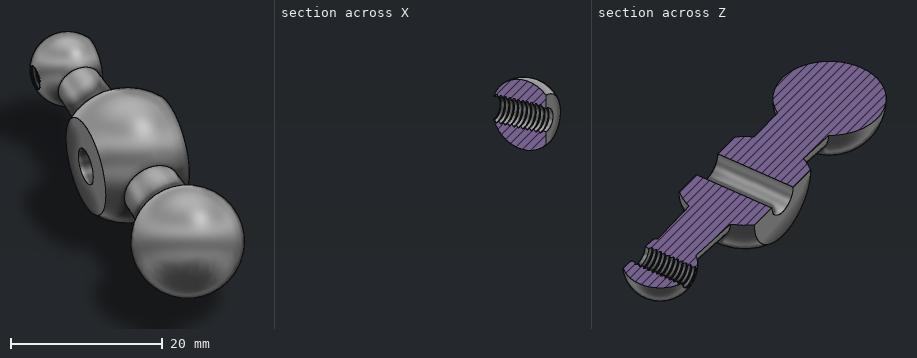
import cadquery as cq
import math

ball_spacing = 19.95
small_radius = 5.0
middle_radius = 8.95
large_radius = 7.5

middle_width = 12.0
small_flat_y = 3.5
middle_bore_diameter = 5.0
tapped_bore_diameter = 3.25

thread_major_diameter = 4.0
thread_pitch = 0.7
groove_mouth = 0.9 * thread_pitch
groove_root = thread_pitch / 8

small_neck_outer_radius = 3.05
small_neck_inner_radius = 3.3
large_neck_inner_radius = 3.95
large_neck_outer_radius = 4.1


def ball(x, radius):
    """Ball whose poles lie on Y, so that a bore along Y removes them."""
    return cq.Workplane("XZ").sphere(radius).translate((x, 0, 0))


def middle_bore():
    """Round cutter along Y, longer than the middle ball is wide."""
    return (
        cq.Workplane("XZ")
        .circle(middle_bore_diameter / 2)
        .extrude(middle_radius, both=True)
    )


def joint_distance(ball_radius, neck_radius):
    """Distance from a ball centre to the circle where a neck meets it."""
    return math.sqrt(ball_radius**2 - neck_radius**2)


def neck(direction, inner_radius, outer_radius, end_radius):
    """Cone between the middle ball and an end ball, closed inside both balls."""
    inner_x = direction * joint_distance(middle_radius, inner_radius)
    outer_x = direction * (ball_spacing - joint_distance(end_radius, outer_radius))
    profile = (
        cq.Workplane("XY")
        .moveTo(direction * middle_bore_diameter, 0)
        .lineTo(direction * middle_bore_diameter, inner_radius)
        .lineTo(inner_x, inner_radius)
        .lineTo(outer_x, outer_radius)
        .lineTo(direction * ball_spacing, 0)
        .close()
    )
    return profile.revolve(360, (0, 0, 0), (1, 0, 0))


def threaded_bore():
    """Bore with evenly pitched V-shaped ring grooves standing for its thread."""
    bore_radius = tapped_bore_diameter / 2
    major_radius = thread_major_diameter / 2
    rim_y = -joint_distance(small_radius, major_radius)
    groove_count = math.floor((small_flat_y - rim_y) / thread_pitch)

    profile = cq.Workplane("XY").moveTo(0, -middle_radius).lineTo(bore_radius, -middle_radius)
    for index in range(groove_count):
        groove_y = rim_y + (index + 0.5) * thread_pitch
        profile = (
            profile.lineTo(bore_radius, groove_y - groove_mouth / 2)
            .lineTo(major_radius, groove_y - groove_root / 2)
            .lineTo(major_radius, groove_y + groove_root / 2)
            .lineTo(bore_radius, groove_y + groove_mouth / 2)
        )
    profile = profile.lineTo(bore_radius, middle_radius).lineTo(0, middle_radius).close()
    return profile.revolve(360, (0, 0, 0), (0, 1, 0)).translate((-ball_spacing, 0, 0))


middle_slab = cq.Workplane("XY").box(2 * middle_radius, middle_width, 2 * middle_radius)
middle = ball(0, middle_radius).intersect(middle_slab)

flat_cutter = (
    cq.Workplane("XY")
    .box(2 * small_radius, small_radius, 2 * small_radius)
    .translate((-ball_spacing, small_flat_y + small_radius / 2, 0))
)
small = ball(-ball_spacing, small_radius).cut(flat_cutter)

small_neck = neck(-1, small_neck_inner_radius, small_neck_outer_radius, small_radius)
large_neck = neck(1, large_neck_inner_radius, large_neck_outer_radius, large_radius)

result = (
    middle.union(small_neck)
    .union(large_neck)
    .union(small)
    .union(ball(ball_spacing, large_radius))
    .cut(middle_bore())
    .cut(threaded_bore())
)